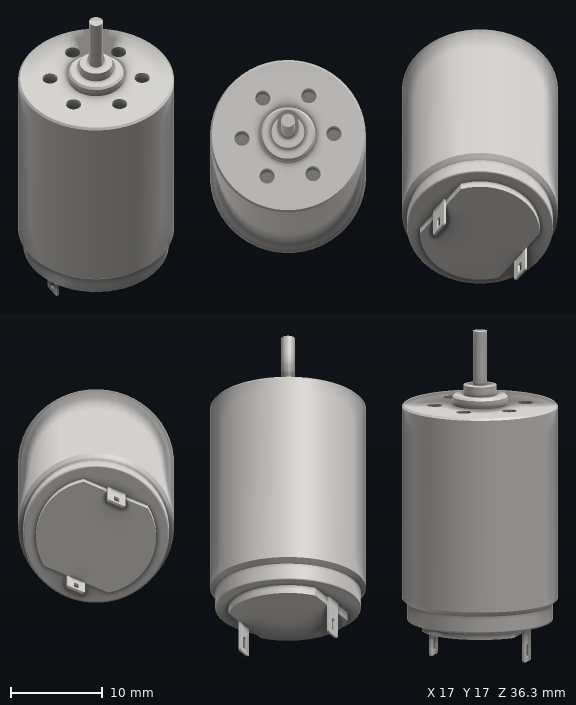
import cadquery as cq

total_height = 36.3
disc_bottom = 3.25
cap_bottom = 4.2
taper_bottom = 6.15
taper_top = 6.68
can_top = 28.17
boss_top = 29.25
bearing_top = 30.35

can_diameter = 17.0
cap_diameter = 15.9
boss_diameter = 6.0
bearing_diameter = 3.55
shaft_diameter = 1.5
edge_chamfer = 0.2
cap_edge_radius = 0.2

hole_count = 6
hole_diameter = 1.67
hole_circle_radius = 5.0
hole_depth = 1.8

disc_diameter = 13.05
disc_width_across_flats = 10.6

terminal_width = 2.07
terminal_thickness = 0.25
terminal_corner_radius = 0.3
slot_width = 0.6
slot_height = 1.38
slot_corner_radius = 0.1
slot_bottom = 0.55


def cylinder(diameter, bottom, top):
    return cq.Workplane("XY").workplane(offset=bottom).circle(diameter / 2).extrude(top - bottom)


def make_can():
    can_radius = can_diameter / 2
    cap_radius = cap_diameter / 2
    profile = [
        (0, cap_bottom),
        (cap_radius, cap_bottom),
        (cap_radius, taper_bottom),
        (can_radius, taper_top),
        (can_radius, can_top),
        (0, can_top),
    ]
    can = cq.Workplane("XZ").polyline(profile).close().revolve(360, (0, 0), (0, 1))
    return can.faces(">Z").edges().chamfer(edge_chamfer).faces("<Z").edges().fillet(cap_edge_radius)


def make_mounting_holes():
    holes = cq.Workplane("XY").workplane(offset=can_top)
    holes = holes.polarArray(hole_circle_radius, 0, 360, hole_count)
    return holes.circle(hole_diameter / 2).extrude(-hole_depth)


def make_disc():
    height = cap_bottom - disc_bottom
    flats = cq.Workplane("XY").workplane(offset=disc_bottom)
    flats = flats.rect(disc_diameter, disc_width_across_flats).extrude(height)
    return cylinder(disc_diameter, disc_bottom, cap_bottom).intersect(flats)


def make_terminal(side):
    """Slotted tab against the flat facing -Y (side = -1) or +Y (side = 1)."""
    center_y = side * (disc_width_across_flats + terminal_thickness) / 2
    tab = cq.Workplane("XY").box(
        terminal_width, terminal_thickness, cap_bottom, centered=(True, True, False)
    )
    tab = tab.edges("|Y and <Z").fillet(terminal_corner_radius)
    slot = cq.Workplane("XY").workplane(offset=slot_bottom)
    slot = slot.rect(slot_width, 2 * terminal_thickness).extrude(slot_height)
    slot = slot.edges("|Y").fillet(slot_corner_radius)
    return tab.cut(slot).translate((0, center_y, 0))


boss = cylinder(boss_diameter, can_top, boss_top).faces(">Z").edges().chamfer(edge_chamfer)

result = make_can().cut(make_mounting_holes())
result = result.union(boss)
result = result.union(cylinder(bearing_diameter, boss_top, bearing_top))
result = result.union(cylinder(shaft_diameter, bearing_top, total_height))
result = result.union(make_disc())
for side in (-1, 1):
    result = result.union(make_terminal(side))